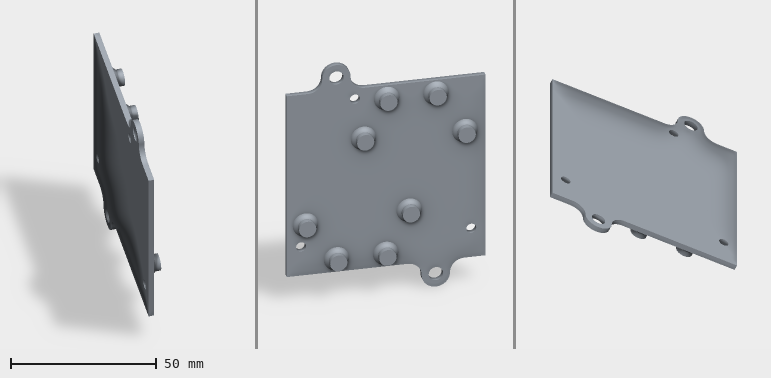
import cadquery as cq
import math

plate_side = 70.0
plate_thickness = 2.0
half_side = plate_side / 2

overall_height = 90
ear_radius = (overall_height - plate_side) / 4
ear_hole_diameter = 5.0
ear_offset = plate_side / 4

hole_diameter = 3.5
lower_hole_x = 30.0
lower_hole_z = -23.9
upper_hole = (11.0, 31.05)
hole_positions = [(-lower_hole_x, lower_hole_z), (lower_hole_x, lower_hole_z), upper_hole]

overall_depth = 5.5
standoff_diameter = 6.0
standoff_radius = standoff_diameter / 2
standoff_height = overall_depth - plate_thickness
flare_height = 1.5
flare_width = 1.4
outer_row = 30.0
inner_row_near = 14.2
inner_row_far = 15.6
middle_offset = 0.2
standoff_positions = [
    (-ear_offset, outer_row),
    (-middle_offset, outer_row),
    (-27.7, inner_row_near),
    (8.0, inner_row_far),
    (-8.1, -inner_row_near),
    (28.4, -inner_row_far),
    (middle_offset, -outer_row),
    (ear_offset, -outer_row),
]


def ear():
    """Top ear: a round end blended into the plate edge by quarter arcs."""
    edge = half_side
    centre_z = edge + ear_radius
    blend = ear_radius
    blend_mid = blend * (1 - math.cos(math.pi / 4))
    left = ear_offset - ear_radius
    right = ear_offset + ear_radius
    root = edge - ear_radius
    return (
        cq.Workplane("XZ")
        .moveTo(left - blend, root)
        .lineTo(left - blend, edge)
        .threePointArc((left - blend_mid, edge + blend_mid), (left, centre_z))
        .threePointArc((ear_offset, centre_z + ear_radius), (right, centre_z))
        .threePointArc((right + blend_mid, edge + blend_mid), (right + blend, edge))
        .lineTo(right + blend, root)
        .close()
        .extrude(-plate_thickness)
        .cut(through_holes([(ear_offset, centre_z)], ear_hole_diameter))
    )


def through_holes(positions, diameter):
    """Cylinders that pass through the plate thickness."""
    return cq.Workplane("XZ").pushPoints(positions).circle(diameter / 2).extrude(-plate_thickness)


def standoff(x, z):
    """Round post with a conical flare at its base, revolved about its Y axis."""
    base = plate_thickness
    return (
        cq.Workplane("XY")
        .moveTo(0, 0)
        .lineTo(standoff_radius + flare_width, 0)
        .lineTo(standoff_radius + flare_width, base)
        .lineTo(standoff_radius, base + flare_height)
        .lineTo(standoff_radius, base + standoff_height)
        .lineTo(0, base + standoff_height)
        .close()
        .revolve(360, (0, 0, 0), (0, 1, 0))
        .translate((x, 0, z))
    )


plate = cq.Workplane("XZ").rect(plate_side, plate_side).extrude(-plate_thickness)
top_ear = ear()
bottom_ear = top_ear.rotate((0, 0, 0), (0, 1, 0), 180)

result = plate.union(top_ear).union(bottom_ear)
for x, z in standoff_positions:
    result = result.union(standoff(x, z))
result = result.cut(through_holes(hole_positions, hole_diameter)).clean()